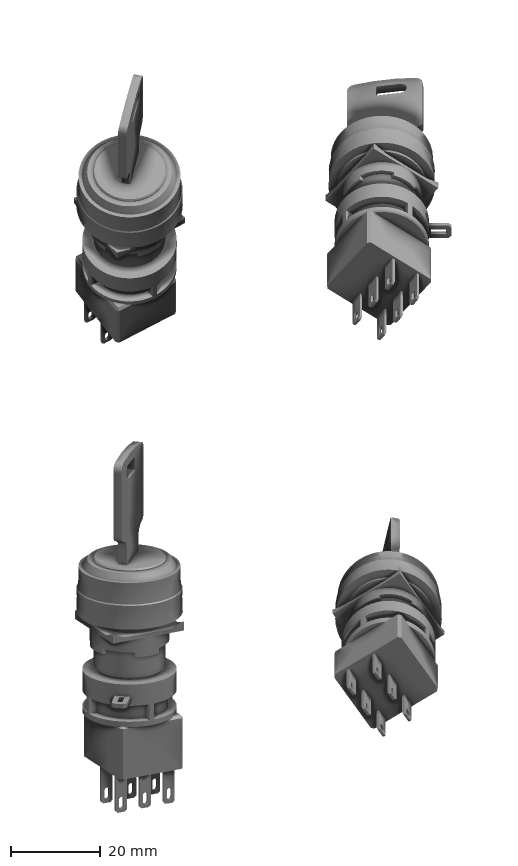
import cadquery as cq
import math


KEY_ANGLE = -45.0
KEY_SHIFT = -0.8
KEY_THICKNESS = 1.95
KEY_HEAD_WIDTH = 17.0
KEY_STEM_WIDTH = 9.0
KEY_TOP_Z = 38.75
KEY_CROWN_RISE = 0.9
KEY_CORNER_RADIUS = 2.0
KEY_HEAD_BOTTOM_Z = 21.15
KEY_STEM_TOP_Z = 16.45
KEY_SHOULDER_SPLIT = 0.39
KEY_HOLE_LEFT = -4.95
KEY_HOLE_RIGHT = 2.0
KEY_HOLE_HEIGHT = 3.35
KEY_HOLE_Z = 34.8
KEY_HOLE_FILLET = 0.4

PLUG_RADIUS = 8.2
PLUG_CHAMFER = 0.3
PLUG_TOP_Z = 13.0
BEZEL_TOP_Z = 12.45
BEZEL_TOP_RADIUS = 9.45
BEZEL_SHOULDER_Z = 10.9
BEZEL_CONE_RADIUS = 10.6
UPPER_BAND_TOP_RADIUS = 11.4
UPPER_BAND_BOTTOM_RADIUS = 11.6
UPPER_BAND_BOTTOM_Z = 5.85
LOWER_BAND_TOP_Z = 5.6
LOWER_BAND_TOP_RADIUS = 11.85
BEZEL_RADIUS = 11.9
BAND_HOLLOW = 0.1
GASKET_RADIUS = 10.0
GASKET_BOTTOM_Z = -0.75
BARREL_RADIUS = 8.0
BARREL_BOTTOM_Z = -12.85
NECK_RADIUS = 7.45
SQUARE_SIDE = 18.0
SQUARE_TOP_Z = -1.15
SQUARE_BOTTOM_Z = -3.25
DISH_FLOOR_Z = -2.25
DISH_FLOOR_RADIUS = 10.7
COLLAR_RADIUS = 8.95
COLLAR_BOTTOM_Z = -7.8
TOOTH_ROOT_Z = -6.55
TOOTH_WIDTH = 6.0

BASE_TOP_Z = -13.6
RING_RADIUS = 10.55
RING_BOTTOM_Z = -24.0
RING_CHAMFER = 0.3
WINDOW_TOP_Z = -18.65
WINDOW_BOTTOM_Z = -22.45
WINDOW_CORE_RADIUS = 8.65
POST_WIDTH = 1.2
BLOCK_X = 17.9
BLOCK_Y = 16.0
BLOCK_CENTER_Y = -1.0
BLOCK_TOP_Z = -23.45
BLOCK_BOTTOM_Z = -36.1
BLOCK_CHAMFER = 0.6
LUG_ANGLE = 143.0
LUG_TIP = 15.6
LUG_WIDTH = 3.5
LUG_THICKNESS = 1.0
LUG_Z = -16.9
LUG_CORNER = 0.7
LUG_HOLE_START = 11.0
LUG_HOLE_END = 14.3
LUG_HOLE_WIDTH = 1.2
OVERALL_HEIGHT = 83.91
TERMINAL_BOTTOM_Z = KEY_TOP_Z - OVERALL_HEIGHT
TERMINAL_XS = (-5.3, 1.55)
TERMINAL_PITCH_Y = 6.05
TERMINALS_PER_ROW = 3
TERMINAL_WIDTH = 2.8
TERMINAL_THICKNESS = 0.6
TERMINAL_TIP_CHAMFER = 0.5
EYE_WIDTH = 1.2
EYE_LENGTH = 2.7
EYE_Z = -42.9


def disc(radius, bottom_z, top_z):
    return cq.Workplane("XY").workplane(offset=bottom_z).circle(radius).extrude(top_z - bottom_z)


def block(size_x, size_y, bottom_z, top_z):
    return (
        cq.Workplane("XY").workplane(offset=bottom_z)
        .rect(size_x, size_y).extrude(top_z - bottom_z)
    )


def make_key():
    head = KEY_HEAD_WIDTH / 2
    stem = KEY_STEM_WIDTH / 2
    crown_end_z = KEY_TOP_Z - KEY_CROWN_RISE

    run = head - stem
    drop = KEY_HEAD_BOTTOM_Z - KEY_STEM_TOP_Z
    turn = 2 * math.atan2(run, drop)
    radius_sum = drop / math.sin(turn)
    convex = radius_sum * KEY_SHOULDER_SPLIT
    concave = radius_sum - convex

    def on_convex(angle):
        return (head - convex * (1 - math.cos(angle)), KEY_HEAD_BOTTOM_Z - convex * math.sin(angle))

    def on_concave(angle):
        return (stem + concave * (1 - math.cos(angle)), KEY_STEM_TOP_Z + concave * math.sin(angle))

    def mirrored(point):
        return (-point[0], point[1])

    outline = (
        cq.Workplane("XZ")
        .moveTo(-stem, PLUG_TOP_Z)
        .lineTo(stem, PLUG_TOP_Z)
        .lineTo(stem, KEY_STEM_TOP_Z)
        .threePointArc(on_concave(turn / 2), on_concave(turn))
        .threePointArc(on_convex(turn / 2), (head, KEY_HEAD_BOTTOM_Z))
        .lineTo(head, crown_end_z)
        .threePointArc((0, KEY_TOP_Z), (-head, crown_end_z))
        .lineTo(-head, KEY_HEAD_BOTTOM_Z)
        .threePointArc(mirrored(on_convex(turn / 2)), mirrored(on_convex(turn)))
        .threePointArc(mirrored(on_concave(turn / 2)), (-stem, KEY_STEM_TOP_Z))
        .close()
    )
    key = outline.extrude(KEY_THICKNESS / 2, both=True)
    key = key.edges("|Y").edges(">Z").fillet(KEY_CORNER_RADIUS)

    hole_radius = KEY_HOLE_HEIGHT / 2
    round_center = KEY_HOLE_LEFT + hole_radius
    hole = (
        cq.Workplane("XZ")
        .moveTo(round_center, KEY_HOLE_Z - hole_radius)
        .lineTo(KEY_HOLE_RIGHT, KEY_HOLE_Z - hole_radius)
        .lineTo(KEY_HOLE_RIGHT, KEY_HOLE_Z + hole_radius)
        .lineTo(round_center, KEY_HOLE_Z + hole_radius)
        .threePointArc((KEY_HOLE_LEFT, KEY_HOLE_Z), (round_center, KEY_HOLE_Z - hole_radius))
        .close()
        .extrude(KEY_THICKNESS, both=True)
        .edges("|Y and >X").fillet(KEY_HOLE_FILLET)
    )
    key = key.cut(hole)

    key = key.translate((KEY_SHIFT, 0, 0))
    return key.rotate((0, 0, 0), (0, 0, 1), KEY_ANGLE)


def band_middle(top_radius, top_z, bottom_radius, bottom_z):
    return ((top_radius + bottom_radius) / 2 - BAND_HOLLOW, (top_z + bottom_z) / 2)


def make_turned_operator():
    upper_middle = band_middle(
        UPPER_BAND_TOP_RADIUS, BEZEL_SHOULDER_Z, UPPER_BAND_BOTTOM_RADIUS, UPPER_BAND_BOTTOM_Z
    )
    lower_middle = band_middle(LOWER_BAND_TOP_RADIUS, LOWER_BAND_TOP_Z, BEZEL_RADIUS, 0)
    profile = (
        cq.Workplane("XZ")
        .moveTo(0, PLUG_TOP_Z)
        .lineTo(PLUG_RADIUS - PLUG_CHAMFER, PLUG_TOP_Z)
        .lineTo(PLUG_RADIUS, PLUG_TOP_Z - PLUG_CHAMFER)
        .lineTo(PLUG_RADIUS, BEZEL_TOP_Z)
        .lineTo(BEZEL_TOP_RADIUS, BEZEL_TOP_Z)
        .lineTo(BEZEL_CONE_RADIUS, BEZEL_SHOULDER_Z)
        .lineTo(UPPER_BAND_TOP_RADIUS, BEZEL_SHOULDER_Z)
        .threePointArc(upper_middle, (UPPER_BAND_BOTTOM_RADIUS, UPPER_BAND_BOTTOM_Z))
        .lineTo(LOWER_BAND_TOP_RADIUS, LOWER_BAND_TOP_Z)
        .threePointArc(lower_middle, (BEZEL_RADIUS, 0))
        .lineTo(GASKET_RADIUS, 0)
        .lineTo(GASKET_RADIUS, GASKET_BOTTOM_Z)
        .lineTo(BARREL_RADIUS, GASKET_BOTTOM_Z)
        .lineTo(BARREL_RADIUS, BARREL_BOTTOM_Z)
        .lineTo(NECK_RADIUS, BARREL_BOTTOM_Z)
        .lineTo(NECK_RADIUS, BASE_TOP_Z)
        .lineTo(0, BASE_TOP_Z)
        .close()
    )
    return profile.revolve(360, (0, 0, 0), (0, 1, 0))


def make_square_washer():
    corner_radius = SQUARE_SIDE / math.sqrt(2)
    dish = (
        cq.Workplane("XZ")
        .moveTo(0, DISH_FLOOR_Z)
        .lineTo(DISH_FLOOR_RADIUS, DISH_FLOOR_Z)
        .lineTo(corner_radius, SQUARE_TOP_Z)
        .lineTo(0, SQUARE_TOP_Z)
        .close()
        .revolve(360, (0, 0, 0), (0, 1, 0))
    )
    return block(SQUARE_SIDE, SQUARE_SIDE, SQUARE_BOTTOM_Z, SQUARE_TOP_Z).cut(dish)


def make_toothed_collar():
    teeth = block(TOOTH_WIDTH, 2 * COLLAR_RADIUS, COLLAR_BOTTOM_Z, TOOTH_ROOT_Z).union(
        block(2 * COLLAR_RADIUS, TOOTH_WIDTH, COLLAR_BOTTOM_Z, TOOTH_ROOT_Z)
    )
    teeth = teeth.intersect(disc(COLLAR_RADIUS, COLLAR_BOTTOM_Z, TOOTH_ROOT_Z))
    return disc(COLLAR_RADIUS, TOOTH_ROOT_Z, SQUARE_BOTTOM_Z).union(teeth)


def make_operator():
    return make_turned_operator().union(make_square_washer()).union(make_toothed_collar())


def make_base_ring():
    ring = disc(RING_RADIUS, RING_BOTTOM_Z, BASE_TOP_Z).faces("<Z").chamfer(RING_CHAMFER)
    windows = disc(RING_RADIUS, WINDOW_BOTTOM_Z, WINDOW_TOP_Z).cut(
        disc(WINDOW_CORE_RADIUS, WINDOW_BOTTOM_Z, WINDOW_TOP_Z)
    )
    span = 2 * RING_RADIUS
    windows = windows.cut(block(POST_WIDTH, span, WINDOW_BOTTOM_Z, WINDOW_TOP_Z))
    windows = windows.cut(block(span, POST_WIDTH, WINDOW_BOTTOM_Z, WINDOW_TOP_Z))
    return ring.cut(windows)


def make_contact_block():
    body = block(BLOCK_X, BLOCK_Y, BLOCK_BOTTOM_Z, BLOCK_TOP_Z)
    body = body.edges("|Z").chamfer(BLOCK_CHAMFER)
    body = body.faces(">Z").chamfer(BLOCK_CHAMFER)
    return body.translate((0, BLOCK_CENTER_Y, 0))


def make_lug():
    root = WINDOW_CORE_RADIUS
    length = LUG_TIP - root
    lug = (
        cq.Workplane("XY").box(length, LUG_WIDTH, LUG_THICKNESS)
        .edges("|Z and >X").chamfer(LUG_CORNER)
        .translate((root + length / 2, 0, LUG_Z))
    )
    hole_length = LUG_HOLE_END - LUG_HOLE_START
    hole = (
        cq.Workplane("XY").box(hole_length, LUG_HOLE_WIDTH, 2 * LUG_THICKNESS)
        .translate((LUG_HOLE_START + hole_length / 2, 0, LUG_Z))
    )
    return lug.cut(hole).rotate((0, 0, 0), (0, 0, 1), LUG_ANGLE)


def make_terminal(x, y):
    terminal = (
        block(TERMINAL_THICKNESS, TERMINAL_WIDTH, TERMINAL_BOTTOM_Z, BLOCK_BOTTOM_Z)
        .faces("<Z").edges("|X").chamfer(TERMINAL_TIP_CHAMFER)
    )
    eye = (
        cq.Workplane("YZ").center(0, EYE_Z)
        .slot2D(EYE_LENGTH, EYE_WIDTH, 90)
        .extrude(TERMINAL_THICKNESS, both=True)
    )
    return terminal.cut(eye).translate((x, y, 0))


def make_base():
    base = make_base_ring().union(make_contact_block()).union(make_lug())
    for x in TERMINAL_XS:
        for index in range(TERMINALS_PER_ROW):
            y = BLOCK_CENTER_Y + (index - (TERMINALS_PER_ROW - 1) / 2) * TERMINAL_PITCH_Y
            base = base.union(make_terminal(x, y))
    return base


key = make_key()
operator = make_operator()
base = make_base()

result = cq.Compound.makeCompound([key.val(), operator.val(), base.val()])